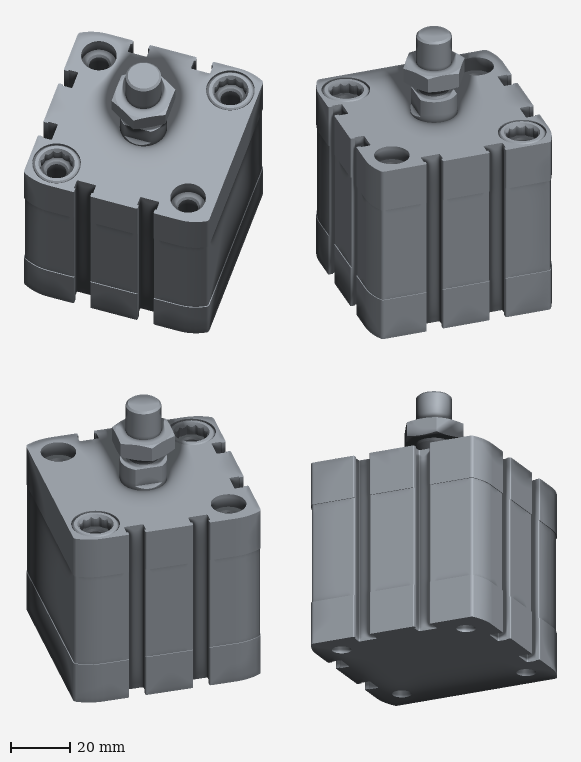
import cadquery as cq
import math


housing_width = 65.5
housing_height = 65.2
cap_height = 15.1
tube_inset = 0.3
half_width = housing_width / 2
corner_arc_radius = 17.8
corner_arc_start = 23.3
corner_fillet = 1.4

slot_offset = 11.2
slot_mouth_width = 5.7
slot_inner_width = 6.8
slot_lip = 1.6
slot_depth = 5.0
slot_mouth_round = 0.4
slot_floor_round = 0.4

fixing_pitch = 46.5
fixing_offset = fixing_pitch / 2
fixing_hole_diameter = 6.65
hole_mouth_diameter = 8.0
counterbore_diameter = 12.0
counterbore_depth = 5.0
groove_outer_diameter = 16.4
screw_head_diameter = 15.5
screw_head_chamfer = 0.5
groove_depth = 1.0
socket_mouth_diameter = 12.2
socket_mouth_depth = 1.4
socket_point_diameter = 11.4
socket_tip_diameter = 10.65
socket_tip_width = 0.9
socket_points = 12
socket_depth = 4.5

rod_length_above = 30.0
rod_insertion = cap_height
collar_diameter = 16.0
collar_height = 8.0
flat_across = 13.0
flat_length = 6.5
flat_runout = 0.85
thread_diameter = 12.0
neck_diameter = 10.2
neck_flare_diameter = 11.7
neck_start = 8.6
neck_end = 9.4
thread_start = 12.0
rod_tip_chamfer = 0.7

nut_across_flats = 19.0
nut_thickness = 6.0
nut_height = 13.0
nut_chamfer_angle = 18.0


def block(inset, height):
    """Square block with eased corners, shrunk by inset on every side."""
    edge = half_width - inset
    arc_radius = corner_arc_radius - inset
    fillet = corner_fillet - inset
    arc_center_y = half_width - corner_arc_radius
    fillet_center_x = half_width - corner_fillet
    center_distance = corner_arc_radius - corner_fillet
    tangent_angle = math.acos((fillet_center_x - corner_arc_start) / center_distance)
    fillet_center_y = arc_center_y + center_distance * math.sin(tangent_angle)

    def on_arc(angle):
        return (corner_arc_start + arc_radius * math.cos(angle), arc_center_y + arc_radius * math.sin(angle))

    def on_fillet(angle):
        return (fillet_center_x + fillet * math.cos(angle), fillet_center_y + fillet * math.sin(angle))

    quarter = (
        cq.Workplane("XY")
        .lineTo(0, edge)
        .lineTo(corner_arc_start, edge)
        .threePointArc(on_arc((math.pi / 2 + tangent_angle) / 2), on_arc(tangent_angle))
        .threePointArc(on_fillet(tangent_angle / 2), (edge, fillet_center_y))
        .lineTo(edge, 0)
        .close()
        .extrude(height)
    )
    half = quarter.union(quarter.mirror("YZ"))
    return half.union(half.mirror("XZ")).clean()


def slot_cutter(inset, height):
    """T-slot along Z, centred on X = 0, through a back (+Y) face that is set in by inset."""
    face_y = half_width - inset
    lip_y = half_width - slot_lip
    floor_y = half_width - slot_depth
    channel = (
        cq.Workplane("XY")
        .center(0, (floor_y + lip_y) / 2)
        .rect(slot_inner_width, lip_y - floor_y)
        .extrude(height)
        .edges("|Z and <Y")
        .fillet(slot_floor_round)
    )
    mouth = slot_mouth_width / 2
    opening = mouth + slot_mouth_round
    round_y = face_y - slot_mouth_round
    bulge = slot_mouth_round * (1 - math.sqrt(0.5))
    neck = (
        cq.Workplane("XY")
        .moveTo(-mouth, lip_y)
        .lineTo(-mouth, round_y)
        .threePointArc((-mouth - bulge, face_y - bulge), (-opening, face_y))
        .lineTo(opening, face_y)
        .threePointArc((mouth + bulge, face_y - bulge), (mouth, round_y))
        .lineTo(mouth, lip_y)
        .close()
        .extrude(height)
    )
    return channel.union(neck)


def slotted_block(inset, height):
    """Block with two slots each in the back, left and front faces; the right face stays plain."""
    section = block(inset, height)
    slot = slot_cutter(inset, height)
    for face_angle in (0, 90, 180):
        for side in (-1, 1):
            placed_slot = slot.translate((side * slot_offset, 0, 0))
            section = section.cut(placed_slot.rotate((0, 0, 0), (0, 0, 1), face_angle))
    return section


def through_hole(floor_depth):
    """Countersunk through hole whose mouth lies floor_depth below the top face."""
    floor_z = housing_height - floor_depth
    mouth_radius = hole_mouth_diameter / 2
    hole_radius = fixing_hole_diameter / 2
    return (
        cq.Workplane("XZ")
        .lineTo(hole_radius, 0)
        .lineTo(hole_radius, floor_z - (mouth_radius - hole_radius))
        .lineTo(mouth_radius, floor_z)
        .lineTo(0, floor_z)
        .close()
        .revolve(360, (0, 0, 0), (0, 1, 0))
    )


def counterbored_hole():
    counterbore = (
        cq.Workplane("XY", origin=(0, 0, housing_height - counterbore_depth))
        .circle(counterbore_diameter / 2)
        .extrude(counterbore_depth)
    )
    return counterbore.union(through_hole(counterbore_depth))


def splined_socket():
    """Socket with pointed flutes between flat-topped ridges and a conical mouth."""
    point_radius = socket_point_diameter / 2
    tip_radius = socket_tip_diameter / 2
    tip_half_angle = math.asin(socket_tip_width / 2 / tip_radius)
    pitch = 2 * math.pi / socket_points
    outline = []
    for index in range(socket_points):
        point_angle = index * pitch
        ridge_angle = point_angle + pitch / 2
        corners = (
            (point_radius, point_angle),
            (tip_radius, ridge_angle - tip_half_angle),
            (tip_radius, ridge_angle + tip_half_angle),
        )
        outline += [(radius * math.cos(angle), radius * math.sin(angle)) for radius, angle in corners]
    flutes = (
        cq.Workplane("XY", origin=(0, 0, housing_height - socket_depth))
        .polyline(outline)
        .close()
        .extrude(socket_depth)
    )
    mouth_radius = socket_mouth_diameter / 2
    mouth_cone = (
        cq.Workplane("XZ", origin=(0, 0, housing_height))
        .lineTo(mouth_radius, 0)
        .lineTo(tip_radius, -socket_mouth_depth)
        .lineTo(0, -socket_mouth_depth)
        .close()
        .revolve(360, (0, 0, 0), (0, 1, 0))
    )
    return flutes.union(mouth_cone)


def screw_head_groove():
    """Ring-shaped gap around the chamfered screw head."""
    head_radius = screw_head_diameter / 2
    outer_radius = groove_outer_diameter / 2
    return (
        cq.Workplane("XZ", origin=(0, 0, housing_height))
        .moveTo(outer_radius, 0)
        .lineTo(outer_radius, -groove_depth)
        .lineTo(head_radius, -groove_depth)
        .lineTo(head_radius, -screw_head_chamfer)
        .lineTo(head_radius - screw_head_chamfer, 0)
        .close()
        .revolve(360, (0, 0, 0), (0, 1, 0))
    )


def make_housing():
    tube_height = housing_height - 2 * cap_height
    cap = slotted_block(0, cap_height)
    tube = slotted_block(tube_inset, tube_height).translate((0, 0, cap_height))
    body = cap.union(tube).union(cap.translate((0, 0, cap_height + tube_height)))

    screw_cut = splined_socket().union(through_hole(socket_depth))
    for side in (-1, 1):
        screw_corner = (side * fixing_offset, side * fixing_offset, 0)
        hole_corner = (side * fixing_offset, -side * fixing_offset, 0)
        body = body.cut(screw_cut.translate(screw_corner))
        body = body.cut(screw_head_groove().translate(screw_corner))
        body = body.cut(counterbored_hole().translate(hole_corner))

    rod_hole = (
        cq.Workplane("XY", origin=(0, 0, housing_height - rod_insertion))
        .circle(collar_diameter / 2)
        .extrude(rod_insertion)
    )
    return body.cut(rod_hole)


def flat_cutter():
    """Wrench flat on the back (+Y) of the collar, ending in a slope at its lower end."""
    flat_y = flat_across / 2
    collar_radius = collar_diameter / 2
    flat_z = collar_height - flat_length
    return (
        cq.Workplane("YZ", origin=(0, 0, housing_height))
        .moveTo(flat_y, collar_height)
        .lineTo(flat_y, flat_z)
        .lineTo(collar_radius, flat_z - flat_runout)
        .lineTo(collar_radius, collar_height)
        .close()
        .extrude(collar_radius, both=True)
    )


def make_rod():
    collar_radius = collar_diameter / 2
    neck_radius = neck_diameter / 2
    thread_radius = thread_diameter / 2
    rod = (
        cq.Workplane("XZ", origin=(0, 0, housing_height))
        .moveTo(0, -rod_insertion)
        .lineTo(collar_radius, -rod_insertion)
        .lineTo(collar_radius, collar_height)
        .lineTo(neck_flare_diameter / 2, collar_height)
        .lineTo(neck_radius, neck_start)
        .lineTo(neck_radius, neck_end)
        .lineTo(thread_radius, thread_start)
        .lineTo(thread_radius, rod_length_above - rod_tip_chamfer)
        .lineTo(thread_radius - rod_tip_chamfer, rod_length_above)
        .lineTo(0, rod_length_above)
        .close()
        .revolve(360, (0, 0, 0), (0, 1, 0))
    )
    flat = flat_cutter()
    return rod.cut(flat).cut(flat.mirror("XZ"))


def make_nut():
    """Hexagon nut, chamfered on both faces, with flats facing left and right."""
    nut_z = housing_height + nut_height
    flat_radius = nut_across_flats / 2
    corner_radius = flat_radius / math.cos(math.pi / 6)
    chamfer_height = (corner_radius - flat_radius) * math.tan(math.radians(nut_chamfer_angle))
    hexagon = (
        cq.Workplane("XY", origin=(0, 0, nut_z))
        .transformed(rotate=(0, 0, 90))
        .polygon(6, 2 * corner_radius)
        .circle(thread_diameter / 2)
        .extrude(nut_thickness)
    )
    chamfered_envelope = (
        cq.Workplane("XZ", origin=(0, 0, nut_z))
        .lineTo(flat_radius, 0)
        .lineTo(corner_radius, chamfer_height)
        .lineTo(corner_radius, nut_thickness - chamfer_height)
        .lineTo(flat_radius, nut_thickness)
        .lineTo(0, nut_thickness)
        .close()
        .revolve(360, (0, 0, 0), (0, 1, 0))
    )
    return hexagon.intersect(chamfered_envelope)


housing = make_housing()
piston_rod = make_rod()
lock_nut = make_nut()

result = cq.Compound.makeCompound([housing.val(), piston_rod.val(), lock_nut.val()])